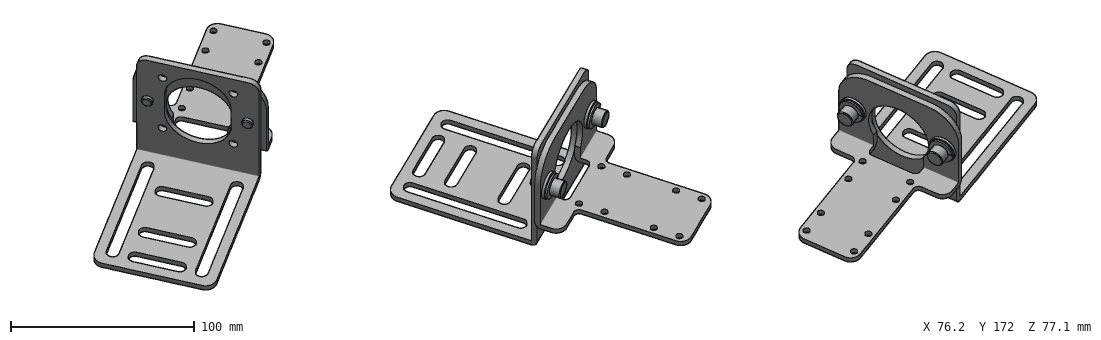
import cadquery as cq


sheet = 3.416
bend_inner_radius = 0.4
bend_outer_radius = sheet + bend_inner_radius
cutter_reach = 2 * sheet
corner_radius = 6.35

overall_length = 171.96
overall_height = 77.09

base_width = 69.85
base_length = 89.7
window_width = 38.1
window_height = 50.8
window_drop = 31.75
window_z = overall_height - window_drop
mount_hole_diameter = 4.9
mount_hole_spacing = 40.4
slot_width = 7.14
slot_margin = 6.1
long_slot_length = 73.2
long_slot_spacing = 50.8
cross_slot_length = 32.8
cross_slot_near_step = 19.05
cross_slot_far_step = 31.75

arm_length = overall_length - base_length
arm_underside_z = 19.05
upright_width = 76.2
upright_drop = 4.1
upright_top_z = overall_height - upright_drop
upright_corner_radius = 19.05
bore_diameter = 38.1
bore_drop = 3.9
bore_z = window_z - bore_drop
relief_width = 31.75
relief_end_y = 10.1
relief_corner_radius = 3.175
shoulder_y = 16.3
arm_width = 38.1
neck_fillet = 3.175
arm_hole_diameter = 3.8
arm_hole_spacing = 30.2
arm_hole_pitch = 15.24
arm_hole_tip_offset = 6.1
arm_hole_group_offset = 44.6

bolt_spacing = 57.15
bolt_z = window_z
bolt_diameter = 6.35
bolt_length = 12.5
bolt_tip_chamfer = 0.6
head_diameter = 9.9
head_height = 6.25
head_chamfer = 0.5
washer_diameter = 15.9
washer_thickness = 1.65
lock_outer_diameter = 15.0
lock_inner_diameter = 6.8
lock_thickness = 1.1
lock_rise = 0.6
lock_turn = 350 / 360

flat_washer_y = sheet
lock_washer_y = flat_washer_y + washer_thickness
head_seat_y = lock_washer_y + lock_thickness + lock_rise


def along_y(y, x=0, z=0):
    """Workplane at the given Y whose normal is +Y and whose local axes are Z and X."""
    return cq.Workplane(cq.Plane(origin=(x, y, z), xDir=(0, 0, 1), normal=(0, 1, 0)))


def bent_sheet(width, length, height):
    """L-shaped sheet: flange along +Y at the bottom, upright against Y = 0."""
    profile = (
        cq.Workplane("YZ")
        .polyline([(0, 0), (length, 0), (length, sheet), (sheet, sheet), (sheet, height), (0, height)])
        .close()
        .extrude(width / 2, both=True)
    )
    inner_bend = cq.selectors.NearestToPointSelector((0, sheet, sheet))
    outer_bend = cq.selectors.NearestToPointSelector((0, 0, 0))
    return profile.edges(inner_bend).fillet(bend_inner_radius).edges(outer_bend).fillet(bend_outer_radius)


def bolt_holes():
    """Cutters for the two bolt holes through both uprights."""
    return (
        along_y(-cutter_reach, z=bolt_z)
        .pushPoints([(0, -bolt_spacing / 2), (0, bolt_spacing / 2)])
        .circle(bolt_diameter / 2)
        .extrude(2 * cutter_reach)
    )


def make_base_bracket():
    blank = bent_sheet(base_width, base_length, overall_height).mirror("XZ")
    blank = blank.edges("|Y and >Z").fillet(corner_radius)
    blank = blank.edges("|Z and <Y").fillet(corner_radius)

    window = along_y(-cutter_reach, z=window_z).slot2D(window_height, window_width).extrude(2 * cutter_reach)
    mount_holes = (
        along_y(-cutter_reach, z=window_z)
        .rect(mount_hole_spacing, mount_hole_spacing, forConstruction=True)
        .vertices()
        .circle(mount_hole_diameter / 2)
        .extrude(2 * cutter_reach)
    )

    slot_end_y = -base_length + slot_margin
    long_slot_y = slot_end_y + long_slot_length / 2
    long_slots = (
        cq.Workplane("XY")
        .pushPoints([(-long_slot_spacing / 2, long_slot_y), (long_slot_spacing / 2, long_slot_y)])
        .slot2D(long_slot_length, slot_width, 90)
        .extrude(sheet)
    )
    first_cross_slot_y = slot_end_y + slot_width / 2
    second_cross_slot_y = first_cross_slot_y + cross_slot_near_step
    third_cross_slot_y = second_cross_slot_y + cross_slot_far_step
    cross_slots = (
        cq.Workplane("XY")
        .pushPoints([(0, y) for y in (first_cross_slot_y, second_cross_slot_y, third_cross_slot_y)])
        .slot2D(cross_slot_length, slot_width)
        .extrude(sheet)
    )
    return (
        blank.cut(window)
        .cut(mount_holes)
        .cut(long_slots)
        .cut(cross_slots)
        .cut(bolt_holes())
        .solids()
    )


def arm_side_cut(side):
    """Waste beside the narrow arm, for side -1 or +1."""
    waste_width = (upright_width - arm_width) / 2
    waste_length = arm_length - shoulder_y
    return (
        cq.Workplane("XY")
        .center(side * (arm_width + waste_width) / 2, shoulder_y + waste_length / 2)
        .rect(waste_width, waste_length)
        .extrude(sheet)
        .edges("|Z and <Y")
        .edges("<X" if side > 0 else ">X")
        .fillet(neck_fillet)
    )


def make_arm_bracket():
    blank = bent_sheet(upright_width, arm_length, upright_top_z - arm_underside_z)
    blank = blank.edges("|Y and >Z").fillet(upright_corner_radius)
    for side in (-1, 1):
        blank = blank.cut(arm_side_cut(side))
    blank = blank.edges("|Z and >Y").fillet(corner_radius)
    for side in (-1, 1):
        corner_point = (side * upright_width / 2, shoulder_y, sheet / 2)
        blank = blank.edges(cq.selectors.NearestToPointSelector(corner_point)).fillet(corner_radius)

    far_row_y = arm_length - arm_hole_tip_offset
    row_offsets = (0, arm_hole_pitch, arm_hole_group_offset, arm_hole_group_offset + arm_hole_pitch)
    hole_points = [(side * arm_hole_spacing / 2, far_row_y - row) for side in (-1, 1) for row in row_offsets]
    arm_holes = (
        cq.Workplane("XY")
        .pushPoints(hole_points)
        .circle(arm_hole_diameter / 2)
        .extrude(sheet)
    )
    bracket = blank.cut(arm_holes).translate((0, 0, arm_underside_z))

    bore = along_y(0, z=bore_z).circle(bore_diameter / 2).extrude(sheet)
    relief = (
        cq.Workplane("XY", origin=(0, 0, arm_underside_z))
        .center(0, relief_end_y / 2)
        .rect(relief_width, relief_end_y)
        .extrude(bore_z - arm_underside_z)
        .edges("|Z and >Y")
        .fillet(relief_corner_radius)
    )
    return bracket.cut(bore).cut(relief).cut(bolt_holes()).solids()


def make_flat_washer(x):
    return (
        along_y(flat_washer_y, x, bolt_z)
        .circle(washer_diameter / 2)
        .circle(bolt_diameter / 2)
        .extrude(washer_thickness)
    )


def make_lock_washer(x):
    """Split ring that climbs one shallow helical turn, with its gap facing -X."""
    mean_radius = (lock_outer_diameter + lock_inner_diameter) / 4
    band = (lock_outer_diameter - lock_inner_diameter) / 2
    path = cq.Workplane(cq.Wire.makeHelix(lock_rise, lock_rise * lock_turn, mean_radius, lefthand=True))
    ring = (
        cq.Workplane("XZ")
        .center(mean_radius, lock_thickness / 2)
        .rect(band, lock_thickness)
        .sweep(path, isFrenet=True)
    )
    return (
        ring.rotate((0, 0, 0), (0, 0, 1), 180)
        .rotate((0, 0, 0), (1, 0, 0), -90)
        .translate((x, lock_washer_y, bolt_z))
    )


def make_bolt(x):
    head = (
        along_y(head_seat_y, x, bolt_z)
        .circle(head_diameter / 2)
        .extrude(head_height)
        .faces(">Y")
        .chamfer(head_chamfer)
    )
    shank = (
        along_y(head_seat_y, x, bolt_z)
        .circle(bolt_diameter / 2)
        .extrude(-bolt_length)
        .faces("<Y")
        .chamfer(bolt_tip_chamfer)
    )
    return head.union(shank).solids()


base_bracket = make_base_bracket()
arm_bracket = make_arm_bracket()

bodies = [base_bracket.val(), arm_bracket.val()]
for bolt_x in (-bolt_spacing / 2, bolt_spacing / 2):
    bodies.append(make_flat_washer(bolt_x).val())
    bodies.append(make_lock_washer(bolt_x).val())
    bodies.append(make_bolt(bolt_x).val())

result = cq.Compound.makeCompound(bodies)